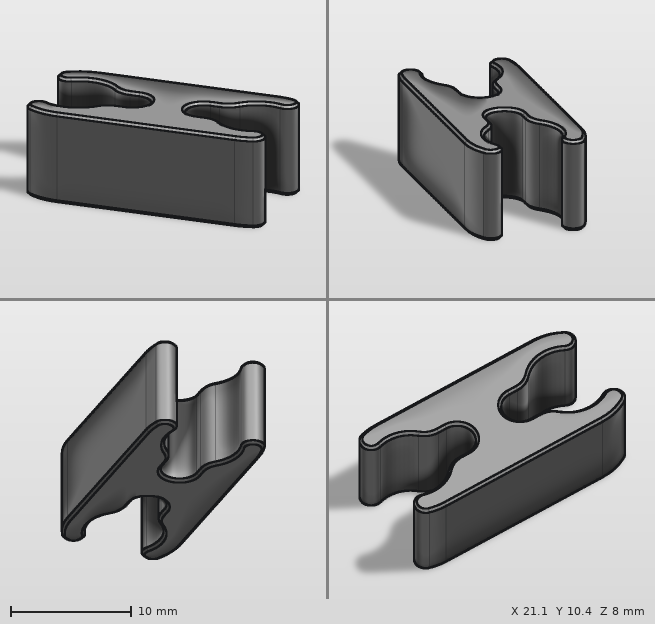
import cadquery as cq
import math

length = 21.15
width = 10.38
height = 8.0
edge_chamfer = 0.25

left_seat_x = -7.45
left_seat_radius = 3.28
right_seat_x = 8.35
right_seat_radius = 3.21

slot_radius = 1.57
left_slot_x = -2.66
right_slot_x = 3.68
neck_radius = 2.15

outer_radius = width / 2


def point_at(x, radius, angle):
    """Point on a circle centred on the X axis at the given x."""
    return x + radius * math.cos(angle), radius * math.sin(angle)


def clip_edge(side, seat_x, seat_radius, slot_x):
    """Upper half of one clip, from the slot end out to the flat outer wall.

    side is -1 for the left clip and 1 for the right clip. Each item is an arc's
    (middle, end), or (None, end) for a straight line.
    """
    tip_radius = (outer_radius - seat_radius) / 2
    arm_radius = seat_radius + tip_radius
    tip_x = side * (length / 2 - tip_radius)
    tip_reach = abs(tip_x - seat_x)
    tip_y = math.sqrt(arm_radius**2 - tip_reach**2)
    arm_angle = math.atan2(tip_y, tip_x - seat_x)
    crown_angle = (arm_angle + math.pi / 2) / 2

    neck_y = slot_radius + neck_radius
    neck_reach = math.sqrt((seat_radius + neck_radius) ** 2 - neck_y**2)
    neck_x = seat_x - side * neck_reach
    seat_angle = math.atan2(neck_y, neck_x - seat_x)
    neck_angle = (seat_angle - math.pi - math.pi / 2) / 2
    neck_middle = (
        neck_x + neck_radius * math.cos(neck_angle),
        neck_y + neck_radius * math.sin(neck_angle),
    )
    tip_middle = (
        tip_x + side * tip_radius * math.sin(arm_angle),
        tip_y - side * tip_radius * math.cos(arm_angle),
    )

    slot_middle_angle = math.pi / 2 + side * math.pi / 4
    return [
        (point_at(slot_x, slot_radius, slot_middle_angle), (slot_x, slot_radius)),
        (None, (neck_x, slot_radius)),
        (neck_middle, point_at(seat_x, seat_radius, seat_angle)),
        (
            point_at(seat_x, seat_radius, (seat_angle + arm_angle) / 2),
            point_at(seat_x, seat_radius, arm_angle),
        ),
        (tip_middle, point_at(seat_x, outer_radius, arm_angle)),
        (point_at(seat_x, outer_radius, crown_angle), (seat_x, outer_radius)),
    ]


def draw_edge(sketch, edge):
    for middle, end in edge:
        if middle is None:
            sketch = sketch.lineTo(*end)
        else:
            sketch = sketch.threePointArc(middle, end)
    return sketch


def reversed_edge(edge, start):
    """The same edge walked from its far end back to start."""
    ends = [start] + [end for _, end in edge[:-1]]
    middles = [middle for middle, _ in edge]
    return list(zip(reversed(middles), reversed(ends)))


left_edge = clip_edge(-1, left_seat_x, left_seat_radius, left_slot_x)
right_edge = clip_edge(1, right_seat_x, right_seat_radius, right_slot_x)
left_start = (left_slot_x + slot_radius, 0)
right_start = (right_slot_x - slot_radius, 0)

sketch = cq.Workplane("XY").moveTo(*left_start)
sketch = draw_edge(sketch, left_edge)
sketch = sketch.lineTo(right_seat_x, outer_radius)
sketch = draw_edge(sketch, reversed_edge(right_edge, right_start))
upper_half = sketch.close().extrude(height)
body = upper_half.union(upper_half.mirror("XZ"), clean=True)

result = body.faces("<Z or >Z").chamfer(edge_chamfer)